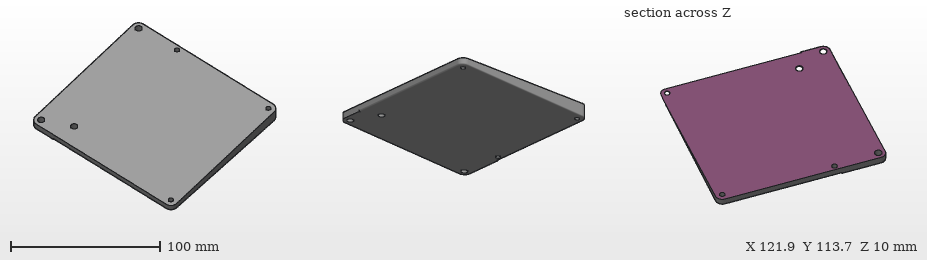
import cadquery as cq

LENGTH_X = 121.94
WIDTH_Y = 113.72
BACK_HEIGHT = 10.0
FRONT_HEIGHT = 5.0
CORNER_RADIUS = 5.0

BOTTOM_ROUND_RADIUS = 1.0
FRONT_ROUND_START_X = -41.7
BACK_ROUND_START_X = -28.0

LARGE_HOLE_DIAMETER = 4.7
SMALL_HOLE_DIAMETER = 3.4
CORNER_HOLE_INSET = 5.0
INNER_HOLE = (-35.2, -42.4)
BACK_EDGE_HOLE = (-24.0, 53.3)

HALF_X = LENGTH_X / 2
HALF_Y = WIDTH_Y / 2
HOLE_X = HALF_X - CORNER_HOLE_INSET
HOLE_Y = HALF_Y - CORNER_HOLE_INSET


def make_wedge():
    """Flat-topped plate with rounded corners and an underside that rises toward the front."""
    side_profile = [
        (-HALF_Y, BACK_HEIGHT - FRONT_HEIGHT),
        (HALF_Y, 0),
        (HALF_Y, BACK_HEIGHT),
        (-HALF_Y, BACK_HEIGHT),
    ]
    block = cq.Workplane("YZ").polyline(side_profile).close().extrude(HALF_X, both=True)
    return block.edges("|Z").fillet(CORNER_RADIUS)


def make_square_edged_region():
    """Block covering the -X end of the plate, where the bottom rim stays sharp."""
    outline = [
        (-HALF_X, -HALF_Y),
        (FRONT_ROUND_START_X, -HALF_Y),
        (FRONT_ROUND_START_X, 0),
        (BACK_ROUND_START_X, 0),
        (BACK_ROUND_START_X, HALF_Y),
        (-HALF_X, HALF_Y),
    ]
    return cq.Workplane("XY").polyline(outline).close().extrude(BACK_HEIGHT)


def drill(body, points, diameter):
    """Cut round vertical holes right through the plate."""
    drills = cq.Workplane("XY").pushPoints(points).circle(diameter / 2).extrude(BACK_HEIGHT)
    return body.cut(drills)


wedge = make_wedge()
rounded_wedge = wedge.faces("<Z").edges().fillet(BOTTOM_ROUND_RADIUS)
square_edged_end = wedge.intersect(make_square_edged_region())
plate = rounded_wedge.union(square_edged_end)

large_holes = [(-HOLE_X, -HOLE_Y), (-HOLE_X, HOLE_Y), INNER_HOLE]
small_holes = [(HOLE_X, -HOLE_Y), (HOLE_X, HOLE_Y), BACK_EDGE_HOLE]
plate = drill(plate, large_holes, LARGE_HOLE_DIAMETER)
result = drill(plate, small_holes, SMALL_HOLE_DIAMETER)